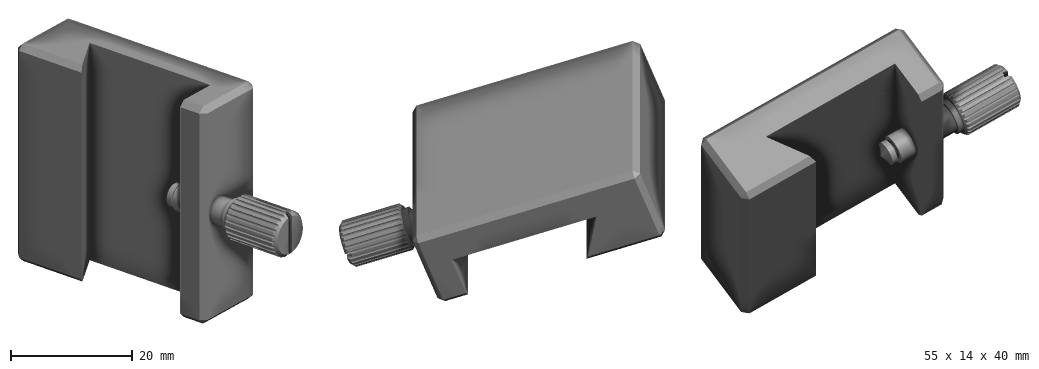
import cadquery as cq
import math

BLOCK_WIDTH = 40.0
BLOCK_DEPTH = 14.0
EDGE_CHAMFER = 1.0
CHANNEL_DEPTH = 8.05
JAW_MOUTH_X = 14.15
DOVETAIL_LEAN = 30
LEG_THICKNESS = 5.0

PINHOLE_DIAMETER = 0.05
PINHOLE_PITCH = 12.5
PINHOLE_COLUMNS = 2
PINHOLE_ROWS = 3

OVERALL_LENGTH = 55.0
KNOB_LENGTH = 11.0
KNOB_RADIUS = 4.0
KNOB_INNER_CHAMFER = 0.5
KNOB_OUTER_CHAMFER = 0.65
COLLAR_LENGTH = 1.0
COLLAR_RADIUS = 3.0
SHANK_START_X = 32.05
SHANK_DIAMETER = 5.0
GROOVE_COUNT = 25
FIRST_GROOVE_ANGLE = 180
GROOVE_RADIUS = 0.25
GROOVE_INSET = 0.08
SLOT_WIDTH = 1.0
SLOT_DEPTH = 1.15

NECK_LENGTH = 0.5
NECK_RADIUS = 1.25
DISC_LENGTH = 1.0
DISC_RADIUS = 2.1
POINT_LENGTH = 1.05
POINT_RADIUS = 1.8

dovetail_root_x = JAW_MOUTH_X - CHANNEL_DEPTH * math.tan(math.radians(DOVETAIL_LEAN))
leg_inner_x = BLOCK_WIDTH - LEG_THICKNESS
block_middle = BLOCK_WIDTH / 2
knob_start_x = OVERALL_LENGTH - KNOB_LENGTH
collar_start_x = knob_start_x - COLLAR_LENGTH
shank_radius = SHANK_DIAMETER / 2
screw_axis_y = KNOB_RADIUS
screw_axis_z = block_middle


def turned(profile):
    """Revolve a profile of (x, radius) points, which starts and ends on the axis, about the screw axis."""
    body = cq.Workplane("XZ").polyline(profile).close().revolve(360, (0, 0, 0), (1, 0, 0))
    return body.translate((0, screw_axis_y, screw_axis_z))


def make_pinholes():
    spots = []
    for column in range(PINHOLE_COLUMNS):
        for row in range(PINHOLE_ROWS):
            x = block_middle + column * PINHOLE_PITCH
            z = block_middle + (row - (PINHOLE_ROWS - 1) / 2) * PINHOLE_PITCH
            spots.append((x, z))
    return (
        cq.Workplane("XZ", origin=(0, CHANNEL_DEPTH, 0))
        .pushPoints(spots)
        .circle(PINHOLE_DIAMETER / 2)
        .extrude(CHANNEL_DEPTH - BLOCK_DEPTH)
    )


def make_housing():
    block = cq.Workplane("XY").box(BLOCK_WIDTH, BLOCK_DEPTH, BLOCK_WIDTH, centered=False)
    block = block.edges().chamfer(EDGE_CHAMFER)
    channel = (
        cq.Workplane("XY")
        .polyline([
            (JAW_MOUTH_X, 0),
            (dovetail_root_x, CHANNEL_DEPTH),
            (leg_inner_x, CHANNEL_DEPTH),
            (leg_inner_x, 0),
        ])
        .close()
        .extrude(BLOCK_WIDTH)
    )
    screw_hole = (
        cq.Workplane("YZ", origin=(leg_inner_x, screw_axis_y, screw_axis_z))
        .circle(shank_radius)
        .extrude(LEG_THICKNESS)
    )
    housing = block.cut(channel).cut(screw_hole)
    return housing.cut(make_pinholes())


def make_screw():
    screw = turned([
        (SHANK_START_X, 0),
        (SHANK_START_X, shank_radius),
        (collar_start_x, shank_radius),
        (collar_start_x, COLLAR_RADIUS),
        (knob_start_x, COLLAR_RADIUS),
        (knob_start_x, KNOB_RADIUS - KNOB_INNER_CHAMFER),
        (knob_start_x + KNOB_INNER_CHAMFER, KNOB_RADIUS),
        (OVERALL_LENGTH - KNOB_OUTER_CHAMFER, KNOB_RADIUS),
        (OVERALL_LENGTH, KNOB_RADIUS - KNOB_OUTER_CHAMFER),
        (OVERALL_LENGTH, 0),
    ])
    grooves = (
        cq.Workplane("YZ", origin=(knob_start_x, screw_axis_y, screw_axis_z))
        .polarArray(KNOB_RADIUS - GROOVE_INSET, FIRST_GROOVE_ANGLE, 360, GROOVE_COUNT)
        .circle(GROOVE_RADIUS)
        .extrude(KNOB_LENGTH)
    )
    slot = cq.Workplane("XY").box(2 * SLOT_DEPTH, SLOT_WIDTH, 2 * KNOB_RADIUS)
    slot = slot.translate((OVERALL_LENGTH, screw_axis_y, screw_axis_z))
    return screw.cut(grooves).cut(slot)


def make_tip():
    disc_end_x = SHANK_START_X - NECK_LENGTH
    disc_start_x = disc_end_x - DISC_LENGTH
    return turned([
        (disc_start_x - POINT_LENGTH, 0),
        (disc_start_x, POINT_RADIUS),
        (disc_start_x, DISC_RADIUS),
        (disc_end_x, DISC_RADIUS),
        (disc_end_x, NECK_RADIUS),
        (SHANK_START_X, NECK_RADIUS),
        (SHANK_START_X, 0),
    ])


housing = make_housing()
screw = make_screw()
tip = make_tip()

result = cq.Compound.makeCompound([housing.val(), screw.val(), tip.val()])